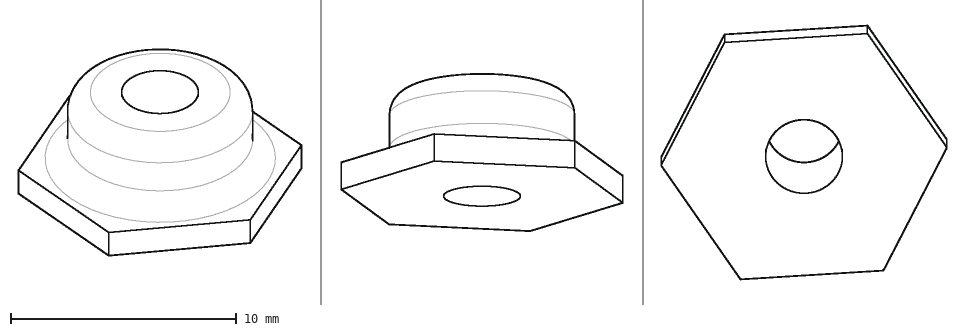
import cadquery as cq

flange_across_corners = 12.7
flange_thickness = 1.25

total_height = 4.75
boss_diameter = 8.2
bore_diameter = 3.4
round_radius = 1.0


def make_flange():
    return (
        cq.Workplane("XY")
        .transformed(rotate=(0, 0, 90))
        .polygon(6, flange_across_corners)
        .extrude(flange_thickness)
    )


def make_boss():
    """Revolved boss with a rounded top edge and a concave foot flaring onto the flange."""
    boss_radius = boss_diameter / 2
    foot_top = flange_thickness + round_radius
    shoulder = total_height - round_radius
    return (
        cq.Workplane("XZ")
        .moveTo(0, flange_thickness)
        .lineTo(boss_radius + round_radius, flange_thickness)
        .radiusArc((boss_radius, foot_top), round_radius)
        .lineTo(boss_radius, shoulder)
        .radiusArc((boss_radius - round_radius, total_height), -round_radius)
        .lineTo(0, total_height)
        .close()
        .revolve(360, (0, 0, 0), (0, 1, 0))
    )


def make_bore():
    return cq.Workplane("XY").circle(bore_diameter / 2).extrude(total_height)


result = make_flange().union(make_boss()).cut(make_bore())